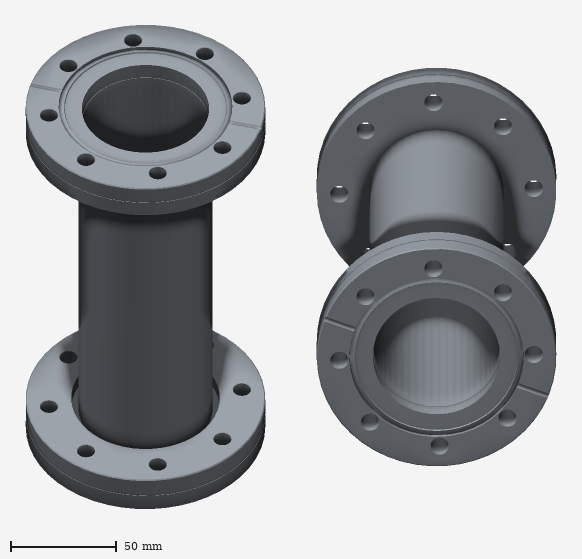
import cadquery as cq

LENGTH = 209.5
END_Z = LENGTH / 2

TUBE_OD = 63.5
TUBE_ID = 60.0
TUBE_INSET = 9.6

FLANGE_OD = 113.5
FIXED_THICKNESS = 17.2
ROTATABLE_THICKNESS = 19.3
RIM_CHAMFER = 0.5
RIM_GROOVE_WIDTH = 1.0
RIM_GROOVE_DEPTH = 0.2
BORE_DIA = 60.4
SOCKET_DIA = 63.7

BOLT_COUNT = 8
BOLT_DIA = 8.4
BOLT_CHAMFER = 0.2
BOLT_CIRCLE_DIA = 92.2
FIRST_BOLT_ANGLE = 180.0 / BOLT_COUNT

RECESS_DIA = 82.4
KNIFE_DIA = 77.1
SEAL_FLOOR_DIA = 76.5
RECESS_DEPTH = 1.9
KNIFE_DEPTH = 0.8
SEAL_FLOOR_DEPTH = 1.5

SLOT_WIDTH = 2.3
SLOT_DEPTH = 0.6

CLEARANCE_DIA = 70.5
COUNTERBORE_DIA = 82.5
INSERT_OD = RECESS_DIA
INSERT_TOP = 12.4


def revolve_profile(points):
    """Solid of revolution about Z from (radius, z) points."""
    return cq.Workplane("XZ").polyline(points).close().revolve(360, (0, 0, 0), (0, 1, 0))


def flange_disc(thickness, chamfered_edges):
    """Disc with its sealing face at +END_Z, the selected rims chamfered and its edge grooved."""
    back_z = END_Z - thickness
    middle_z = END_Z - thickness / 2
    disc = (
        cq.Workplane("XY", origin=(0, 0, back_z))
        .circle(FLANGE_OD / 2)
        .extrude(thickness)
        .edges(chamfered_edges)
        .chamfer(RIM_CHAMFER)
    )
    groove = (
        cq.Workplane("XY", origin=(0, 0, middle_z - RIM_GROOVE_WIDTH / 2))
        .circle(FLANGE_OD / 2 + RIM_GROOVE_DEPTH)
        .circle(FLANGE_OD / 2 - RIM_GROOVE_DEPTH)
        .extrude(RIM_GROOVE_WIDTH)
    )
    return disc.cut(groove)


def bolt_holes(thickness):
    """Ring of cutters for the bolt holes, flared at both ends to chamfer the rims."""
    back_z = END_Z - thickness
    radius = BOLT_DIA / 2
    rim_radius = radius + BOLT_CHAMFER
    hole = revolve_profile([
        (0, back_z),
        (rim_radius, back_z),
        (radius, back_z + BOLT_CHAMFER),
        (radius, END_Z - BOLT_CHAMFER),
        (rim_radius, END_Z),
        (0, END_Z),
    ]).translate((BOLT_CIRCLE_DIA / 2, 0, 0))
    holes = cq.Workplane("XY")
    for index in range(BOLT_COUNT):
        angle = FIRST_BOLT_ANGLE + index * 360 / BOLT_COUNT
        holes = holes.add(hole.rotate((0, 0, 0), (0, 0, 1), angle))
    return holes.combine()


def leak_slots():
    """Round-bottomed channel along X across the sealing face."""
    return (
        cq.Workplane("YZ", origin=(-FLANGE_OD / 2, 0, 0))
        .moveTo(-SLOT_WIDTH / 2, END_Z)
        .threePointArc((0, END_Z - SLOT_DEPTH), (SLOT_WIDTH / 2, END_Z))
        .close()
        .extrude(FLANGE_OD)
    )


def seal_profile():
    """Sealing-face outline as (radius, z), from the recess wall in to the bore."""
    return [
        (RECESS_DIA / 2, END_Z - RECESS_DEPTH),
        (KNIFE_DIA / 2, END_Z - KNIFE_DEPTH),
        (SEAL_FLOOR_DIA / 2, END_Z - SEAL_FLOOR_DEPTH),
        (BORE_DIA / 2, END_Z - SEAL_FLOOR_DEPTH),
    ]


def bore_profile(back_z):
    """Stepped bore outline as (radius, z), from the tube shoulder to the back face."""
    shoulder_z = END_Z - TUBE_INSET
    return [
        (BORE_DIA / 2, shoulder_z),
        (SOCKET_DIA / 2, shoulder_z),
        (SOCKET_DIA / 2, back_z),
    ]


def mirror_to_bottom(body):
    return body.mirror("XY")


def make_tube():
    return (
        cq.Workplane("XY", origin=(0, 0, TUBE_INSET - END_Z))
        .circle(TUBE_OD / 2)
        .circle(TUBE_ID / 2)
        .extrude(LENGTH - 2 * TUBE_INSET)
    )


def make_fixed_flange():
    """Top flange with an integral knife-edge seal."""
    back_z = END_Z - FIXED_THICKNESS
    opening = revolve_profile(
        [(0, END_Z), (RECESS_DIA / 2, END_Z)] + seal_profile() + bore_profile(back_z) + [(0, back_z)]
    )
    flange = flange_disc(FIXED_THICKNESS, ">Z")
    return flange.cut(opening).cut(bolt_holes(FIXED_THICKNESS)).cut(leak_slots())


def make_rotatable_flange():
    """Bottom bolt ring, free to turn around the insert that it clamps."""
    back_z = END_Z - ROTATABLE_THICKNESS
    ledge_z = END_Z - INSERT_TOP
    opening = revolve_profile([
        (0, END_Z),
        (COUNTERBORE_DIA / 2, END_Z),
        (COUNTERBORE_DIA / 2, ledge_z),
        (CLEARANCE_DIA / 2, ledge_z),
        (CLEARANCE_DIA / 2, back_z),
        (0, back_z),
    ])
    flange = flange_disc(ROTATABLE_THICKNESS, "%CIRCLE")
    flange = flange.cut(opening).cut(bolt_holes(ROTATABLE_THICKNESS)).cut(leak_slots())
    return mirror_to_bottom(flange)


def make_insert():
    """Knife-edge ring on the tube's bottom end, held by the rotatable flange."""
    back_z = END_Z - INSERT_TOP
    insert = revolve_profile(seal_profile() + bore_profile(back_z) + [(INSERT_OD / 2, back_z)])
    return mirror_to_bottom(insert)


tube = make_tube()
fixed_flange = make_fixed_flange()
rotatable_flange = make_rotatable_flange()
insert = make_insert()

result = cq.Compound.makeCompound([
    tube.val(),
    fixed_flange.val(),
    rotatable_flange.val(),
    insert.val(),
])